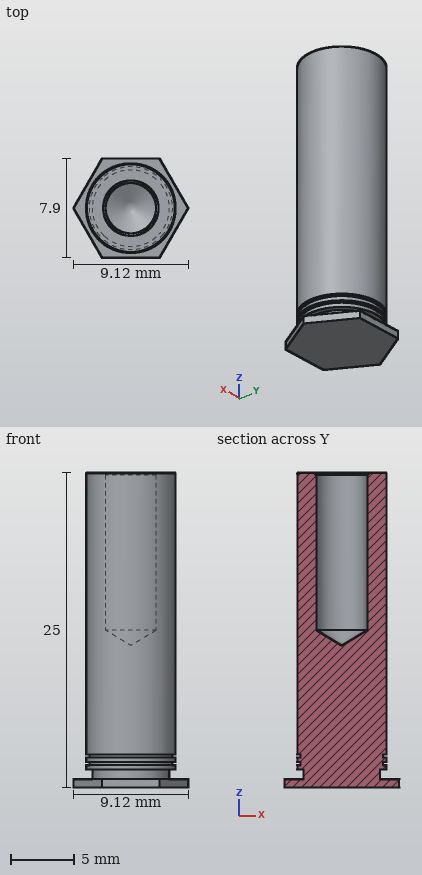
import cadquery as cq
import math

total_height = 25.0
head_across_flats = 7.9
head_thickness = 0.68

body_diameter = 7.12
groove_diameter = 6.6
neck_diameter = 6.1

neck_height = 0.75
ring_height = 0.38
groove_height = 0.22
ring_count = 2
body_chamfer = 0.08

bore_diameter = 4.0
bore_mouth_diameter = 4.4
bore_depth = 12.5
drill_point_angle = 118.0


def cylinder(diameter, bottom, height):
    """Solid cylinder about the Z axis."""
    return cq.Workplane("XY").workplane(offset=bottom).circle(diameter / 2).extrude(height)


def make_head():
    """Hexagonal head with two corners on the X axis."""
    across_corners = head_across_flats / math.cos(math.pi / 6)
    return cq.Workplane("XY").polygon(6, across_corners).extrude(head_thickness)


def make_shank():
    """Neck, alternating rings and grooves, then the long body."""
    shank = cylinder(neck_diameter, head_thickness, neck_height)
    level = head_thickness + neck_height
    for _ in range(ring_count):
        shank = shank.union(cylinder(body_diameter, level, ring_height))
        level += ring_height
        shank = shank.union(cylinder(groove_diameter, level, groove_height))
        level += groove_height
    body = cylinder(body_diameter, level, total_height - level)
    return shank.union(body.faces(">Z").chamfer(body_chamfer))


def make_bore():
    """Revolved cutter: countersunk mouth, straight wall and conical drill point."""
    bore_radius = bore_diameter / 2
    mouth_radius = bore_mouth_diameter / 2
    countersink_depth = mouth_radius - bore_radius
    wall_bottom = total_height - bore_depth
    point_depth = bore_radius / math.tan(math.radians(drill_point_angle / 2))
    return (
        cq.Workplane("XZ")
        .moveTo(0, total_height)
        .lineTo(mouth_radius, total_height)
        .lineTo(bore_radius, total_height - countersink_depth)
        .lineTo(bore_radius, wall_bottom)
        .lineTo(0, wall_bottom - point_depth)
        .close()
        .revolve(360, (0, 0, 0), (0, 1, 0))
    )


result = make_head().union(make_shank()).cut(make_bore())